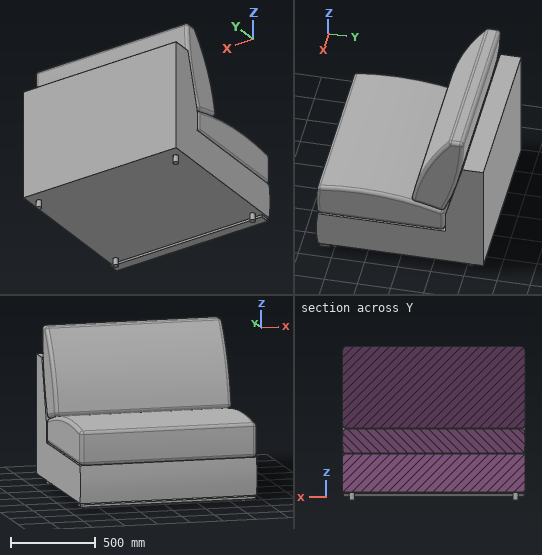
import cadquery as cq
import math


width = 1080
depth = 1010.0
base_bottom = 48.0
deck_height = 275.0
rear_top = 769.0
rear_top_thickness = 126.0
rear_foot_thickness = 229.0
slope_foot_height = 402.0
front_bulge = 10.0

cushion_width = 1080
edge_radius = 22.0
total_height = 965.0
seat_rear = -241.0
seat_front = -1004
seat_rear_bulge = 9.0
seat_front_bulge = 5.0
seat_rear_height = 420.0
seat_crown = (-713, 499.0)
seat_front_height = 480.0
back_top_rear = -121.0
back_top_front = -204.0
back_front_middle = (-339.0, 769.0)
back_rear_middle = (-152.0, 688.0)
back_foot_rear = -244.0
back_foot_front = -436.0

leg_diameter = 32
leg_side_inset = 56.0
leg_rear_y = -82.0
leg_front_y = -905.0

rail_length = 1069
rail_rear_y = -929
rail_depth = 64.0
rail_bottom = 24.0
rail_thickness = 15.0


def circle_through(a, b, c):
    """Centre and radius of the circle through three points."""
    (ax, ay), (bx, by), (cx, cy) = a, b, c
    a2, b2, c2 = ax**2 + ay**2, bx**2 + by**2, cx**2 + cy**2
    d = 2 * (ax * (by - cy) + bx * (cy - ay) + cx * (ay - by))
    x = (a2 * (by - cy) + b2 * (cy - ay) + c2 * (ay - by)) / d
    y = (a2 * (cx - bx) + b2 * (ax - cx) + c2 * (bx - ax)) / d
    return x, y, math.hypot(ax - x, ay - y)


seat_rear_corner = (seat_rear, seat_rear_height)
seat_front_corner = (seat_front, seat_front_height)
crown_y, crown_z, crown_radius = circle_through(seat_rear_corner, seat_crown, seat_front_corner)


def on_seat(y):
    """Profile point on the crowned top of the seat cushion."""
    return y, crown_z + math.sqrt(crown_radius**2 - (y - crown_y) ** 2)


def extrude_across(profile, length):
    """Extrude a closed YZ profile along X, centred on X = 0."""
    return profile.close().extrude(length / 2, both=True)


def make_base():
    front_edge = -(depth - front_bulge)
    profile = (
        cq.Workplane("YZ")
        .moveTo(0, base_bottom)
        .lineTo(0, rear_top)
        .lineTo(-rear_top_thickness, rear_top)
        .lineTo(-rear_foot_thickness, slope_foot_height)
        .lineTo(-rear_foot_thickness, deck_height)
        .lineTo(front_edge, deck_height)
        .threePointArc((-depth, (deck_height + base_bottom) / 2), (front_edge, base_bottom))
    )
    return extrude_across(profile, width)


def make_seat_cushion():
    rear_middle = (seat_rear + seat_rear_bulge, (deck_height + seat_rear_height) / 2)
    front_middle = (seat_front - seat_front_bulge, (deck_height + seat_front_height) / 2)
    profile = (
        cq.Workplane("YZ")
        .moveTo(seat_rear, deck_height)
        .threePointArc(rear_middle, seat_rear_corner)
        .threePointArc(seat_crown, seat_front_corner)
        .threePointArc(front_middle, (seat_front, deck_height))
    )
    return extrude_across(profile, cushion_width).edges().fillet(edge_radius)


def make_back_cushion():
    """Back cushion whose lower face follows the crown of the seat."""
    foot_middle = on_seat((back_foot_rear + back_foot_front) / 2)
    profile = (
        cq.Workplane("YZ")
        .moveTo(*on_seat(back_foot_rear))
        .threePointArc(back_rear_middle, (back_top_rear, total_height))
        .lineTo(back_top_front, total_height)
        .threePointArc(back_front_middle, on_seat(back_foot_front))
        .threePointArc(foot_middle, on_seat(back_foot_rear))
    )
    return extrude_across(profile, cushion_width).edges().fillet(edge_radius)


def make_leg(x, y):
    return cq.Workplane("XY").center(x, y).circle(leg_diameter / 2).extrude(base_bottom)


def make_front_rail():
    return (
        cq.Workplane("XY")
        .box(rail_length, rail_depth, rail_thickness, centered=(True, False, False))
        .translate((0, rail_rear_y - rail_depth, rail_bottom))
    )


base = make_base()
seat_cushion = make_seat_cushion()
back_cushion = make_back_cushion()
front_rail = make_front_rail()

leg_x = width / 2 - leg_side_inset
legs = []
for x in (-leg_x, leg_x):
    for y in (leg_rear_y, leg_front_y):
        legs.append(make_leg(x, y).val())

result = cq.Compound.makeCompound(
    [base.val(), seat_cushion.val(), back_cushion.val(), front_rail.val(), *legs]
)